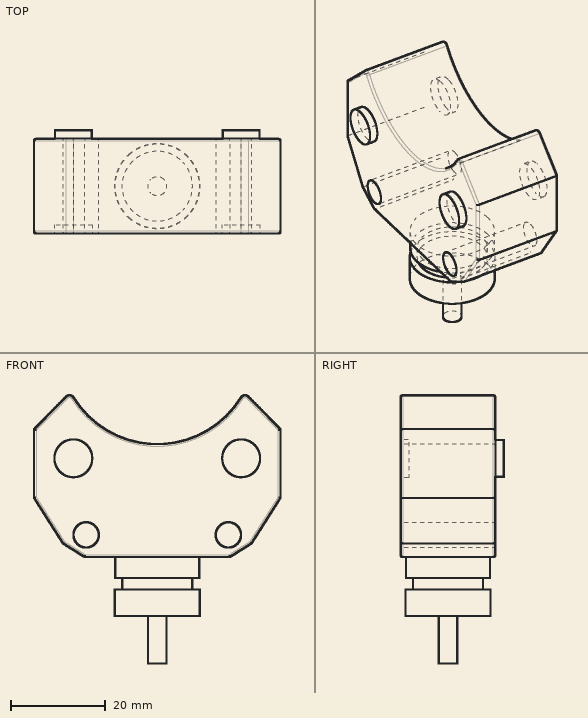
import cadquery as cq
import math

BLOCK_WIDTH = 52.0
BLOCK_THICKNESS = 20.0
BOTTOM_WIDTH = 30.6
LOWER_CORNER_WIDTH = 39.8
LOWER_CORNER_Z = 2.9
SIDE_BOTTOM_Z = 12.5
SIDE_TOP_Z = 27.0
SHOULDER_ANGLE = 45.4
RIM_RADIUS = 0.5

SADDLE_RADIUS = 20.75
SADDLE_BOTTOM_Z = 23.85
HORN_RADIUS = 1.0

PAD_SPACING = 35.4
PAD_Z = 20.85
PAD_DIAMETER = 7.8
RECESS_DIAMETER = 8.0
PAD_HEIGHT = 1.8
RECESS_DEPTH = PAD_HEIGHT

HOLE_SPACING = 30.0
HOLE_Z = 4.7
HOLE_DIAMETER = 5.3

GLAND_STEPS = (
    (17.8, 4.4),
    (14.8, 2.4),
    (18.0, 5.65),
    (4.0, 10.0),
)

FRONT_Y = -BLOCK_THICKNESS / 2
BACK_Y = BLOCK_THICKNESS / 2


def mirrored_discs(spacing, z, diameter, y_start, length):
    """Pair of cylinders along +Y, mirrored about the centre plane."""
    centres = [(-spacing / 2, z), (spacing / 2, z)]
    plane = cq.Workplane("XZ", origin=(0, y_start, 0))
    return plane.pushPoints(centres).circle(diameter / 2).extrude(-length)


def make_block():
    """Faceted block with a saddle, rounded horn tips and rounded rims."""
    half_width = BLOCK_WIDTH / 2
    apex_z = SIDE_TOP_Z + half_width * math.tan(math.radians(SHOULDER_ANGLE))
    right_side = [
        (BOTTOM_WIDTH / 2, 0),
        (LOWER_CORNER_WIDTH / 2, LOWER_CORNER_Z),
        (half_width, SIDE_BOTTOM_Z),
        (half_width, SIDE_TOP_Z),
    ]
    left_side = [(-x, z) for x, z in reversed(right_side)]
    outline = right_side + [(0, apex_z)] + left_side
    plane = cq.Workplane("XZ", origin=(0, BACK_Y, 0))
    body = plane.polyline(outline).close().extrude(BLOCK_THICKNESS)

    saddle_z = SADDLE_BOTTOM_Z + SADDLE_RADIUS
    saddle = plane.center(0, saddle_z).circle(SADDLE_RADIUS).extrude(BLOCK_THICKNESS)
    body = body.cut(saddle)
    lower_part = body.solids("<Z")

    horn_tips = lower_part.edges("|Y").edges(">Z")
    body = cq.Workplane(lower_part.val()).newObject(horn_tips.vals()).fillet(HORN_RADIUS)
    return body.faces("<Y or >Y").fillet(RIM_RADIUS)


def make_gland():
    """Stack of coaxial cylinders hanging from the block's bottom face."""
    gland = cq.Workplane("XY")
    top_z = 0
    for diameter, length in GLAND_STEPS:
        step = cq.Workplane("XY", origin=(0, 0, top_z)).circle(diameter / 2).extrude(-length)
        gland = gland.union(step)
        top_z -= length
    return gland


pads = mirrored_discs(PAD_SPACING, PAD_Z, PAD_DIAMETER, BACK_Y, PAD_HEIGHT)
recesses = mirrored_discs(PAD_SPACING, PAD_Z, RECESS_DIAMETER, FRONT_Y, RECESS_DEPTH)
holes = mirrored_discs(HOLE_SPACING, HOLE_Z, HOLE_DIAMETER, FRONT_Y, BLOCK_THICKNESS)

result = make_block().union(make_gland()).union(pads).cut(recesses).cut(holes)